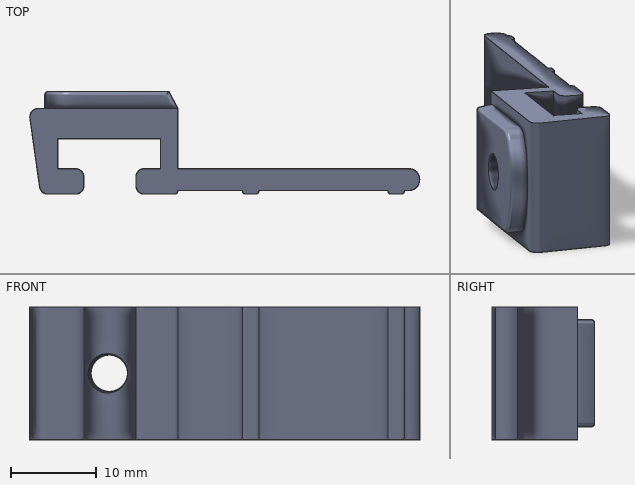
import cadquery as cq
import math

LENGTH = 45.5
HEIGHT_Z = 15.5
BODY_TOP = 10.0
LEAN_ANGLE = math.radians(8)
CORNER_RADIUS = 1.0
WALL_RIGHT = 17.3

SLOT_LEFT = 3.27
SLOT_RIGHT = 15.25
SLOT_CEILING = 6.45
LIP_TOP = 3.0
MOUTH_LEFT = 6.3
MOUTH_RIGHT = 12.35

ARM_BOTTOM = 0.4
RIB_STARTS = (24.8, 41.75)
RIB_WIDTH = 1.95
RIB_CORNER = ARM_BOTTOM

PAD_LEFT = 1.75
PAD_HEIGHT = 2.0
PAD_WIDTH_Z = 12.5
PAD_SLOPE = math.radians(28)
PAD_NOSE_RADIUS = 10.8
PAD_CORNER_RADIUS = 2.05
PAD_EDGE_RADIUS = 0.45

HOLE_FRONT_DIAMETER = 4.6
HOLE_FRONT_X = 9.1
HOLE_BACK_DIAMETER = 4.25
HOLE_BACK_X = 9.3

PAD_TOP = BODY_TOP + PAD_HEIGHT


def extrude_profile(sketch):
    return sketch.extrude(HEIGHT_Z / 2, both=True)


def block(x_min, x_max, y_min, y_max):
    outline = cq.Workplane("XY").moveTo(x_min, y_min).lineTo(x_max, y_min)
    return extrude_profile(outline.lineTo(x_max, y_max).lineTo(x_min, y_max).close())


def make_body():
    r = CORNER_RADIUS
    top_center_y = BODY_TOP - r
    bottom_center_x = r + (top_center_y - r) * math.tan(LEAN_ANGLE)
    side_dx = r * math.cos(LEAN_ANGLE)
    side_dy = r * math.sin(LEAN_ANGLE)
    outline = (
        cq.Workplane("XY")
        .moveTo(bottom_center_x, 0)
        .lineTo(WALL_RIGHT, 0)
        .lineTo(WALL_RIGHT, BODY_TOP)
        .lineTo(r, BODY_TOP)
        .radiusArc((r - side_dx, top_center_y - side_dy), -r)
        .lineTo(bottom_center_x - side_dx, r - side_dy)
        .radiusArc((bottom_center_x, 0), -r)
        .close()
    )
    body = extrude_profile(outline)
    body = body.cut(block(SLOT_LEFT, SLOT_RIGHT, LIP_TOP, SLOT_CEILING))
    body = body.cut(block(MOUTH_LEFT, MOUTH_RIGHT, 0, LIP_TOP))
    for x in (MOUTH_LEFT, MOUTH_RIGHT):
        for y in (0, LIP_TOP):
            body = body.edges(cq.selectors.NearestToPointSelector((x, y, 0))).fillet(r)
    return body.edges(cq.selectors.NearestToPointSelector((WALL_RIGHT, 0, 0))).fillet(RIB_CORNER)


def make_arm():
    end_radius = (LIP_TOP - ARM_BOTTOM) / 2
    end_center_x = LENGTH - end_radius
    outline = (
        cq.Workplane("XY")
        .moveTo(SLOT_RIGHT, ARM_BOTTOM)
        .lineTo(end_center_x, ARM_BOTTOM)
        .threePointArc((LENGTH, ARM_BOTTOM + end_radius), (end_center_x, LIP_TOP))
        .lineTo(SLOT_RIGHT, LIP_TOP)
        .close()
    )
    arm = extrude_profile(outline)
    for start in RIB_STARTS:
        rib = block(start, start + RIB_WIDTH, 0, LIP_TOP / 2)
        arm = arm.union(rib.faces("<Y").edges("|Z").fillet(RIB_CORNER))
    return arm


def make_pad():
    half_z = PAD_WIDTH_Z / 2
    nose_depth = PAD_NOSE_RADIUS - math.sqrt(PAD_NOSE_RADIUS**2 - half_z**2)
    shoulder_x = PAD_LEFT + nose_depth
    pad = (
        cq.Workplane("XZ", origin=(0, BODY_TOP, 0))
        .moveTo(WALL_RIGHT, -half_z)
        .lineTo(WALL_RIGHT, half_z)
        .lineTo(shoulder_x, half_z)
        .threePointArc((PAD_LEFT, 0), (shoulder_x, -half_z))
        .close()
        .extrude(-PAD_HEIGHT)
        .edges("|Y")
        .edges("<X")
        .fillet(PAD_CORNER_RADIUS)
    )
    slope_run = PAD_HEIGHT * math.tan(PAD_SLOPE)
    slope_cut = extrude_profile(
        cq.Workplane("XY")
        .moveTo(WALL_RIGHT, BODY_TOP)
        .lineTo(WALL_RIGHT, PAD_TOP)
        .lineTo(WALL_RIGHT - slope_run, PAD_TOP)
        .close()
    )
    pad = pad.cut(slope_cut)
    crest = cq.selectors.BoxSelector(
        (WALL_RIGHT - slope_run - 0.05, PAD_TOP - 0.05, -0.45),
        (WALL_RIGHT - slope_run + 0.05, PAD_TOP + 0.05, 0.45),
    )
    rim = pad.faces(">Y").edges().edges(cq.selectors.InverseSelector(crest))
    slope_sides = pad.faces(">X").edges("not |Z")
    return pad.newObject(rim.vals() + slope_sides.vals()).fillet(PAD_EDGE_RADIUS)


def make_hole():
    return (
        cq.Workplane("XZ", origin=(0, SLOT_CEILING, 0))
        .center(HOLE_FRONT_X, 0)
        .circle(HOLE_FRONT_DIAMETER / 2)
        .workplane(offset=SLOT_CEILING - PAD_TOP)
        .center(HOLE_BACK_X - HOLE_FRONT_X, 0)
        .circle(HOLE_BACK_DIAMETER / 2)
        .loft(combine=True)
    )


result = make_body().union(make_arm()).union(make_pad()).cut(make_hole())